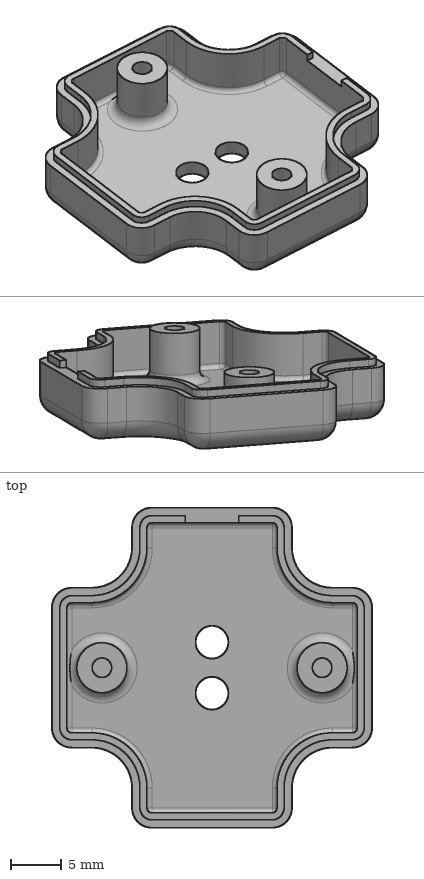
import cadquery as cq
import math

span = 32.0
arm_width = 16.0
inner_corner_radius = 4.0
arm_corner_radius = 2.0
bottom_round = 2.0

floor_thickness = 1.5
shoulder_height = 5.5
rim_height = 6.25
boss_height = 6.75

lip_inset = 0.8
wall_thickness = 1.5
cavity_round = 0.5

notch_width = 5.35

boss_diameter = 5.0
boss_flare = 1.0
boss_offset = 11.0
screw_diameter = 1.95
floor_hole_diameter = 3.25
floor_hole_offset = 2.55


def cross_outline(inset, base_height):
    """Closed cross outline, offset inwards by the given inset."""
    end = span / 2 - inset
    side = arm_width / 2 - inset
    convex = arm_corner_radius - inset
    concave = inner_corner_radius + inset
    concave_center = arm_width / 2 + inner_corner_radius
    convex_mid = convex * (1 - math.sqrt(0.5))
    concave_mid = concave_center - concave * math.sqrt(0.5)

    def turned(x, y, quarter):
        for _ in range(quarter):
            x, y = -y, x
        return x, y

    outline = cq.Workplane("XY").workplane(offset=base_height).moveTo(end, convex - side)
    for quarter in range(4):
        outline = (
            outline
            .lineTo(*turned(end, side - convex, quarter))
            .threePointArc(
                turned(end - convex_mid, side - convex_mid, quarter),
                turned(end - convex, side, quarter),
            )
            .lineTo(*turned(concave_center, side, quarter))
            .threePointArc(
                turned(concave_mid, concave_mid, quarter),
                turned(side, concave_center, quarter),
            )
            .lineTo(*turned(side, end - convex, quarter))
            .threePointArc(
                turned(side - convex_mid, end - convex_mid, quarter),
                turned(side - convex, end, quarter),
            )
        )
    return outline.close()


def cross_prism(inset, bottom, top):
    return cross_outline(inset, bottom).extrude(top - bottom)


def make_shell():
    body = cross_prism(0, 0, shoulder_height).faces("<Z").edges().fillet(bottom_round)
    lip = cross_prism(lip_inset, shoulder_height, rim_height)
    cavity = cross_prism(wall_thickness, floor_thickness, rim_height)
    cavity = cavity.faces("<Z").edges().fillet(cavity_round)
    return body.union(lip).cut(cavity)


def make_notch():
    """Cutter that lowers the +Y lip to the shoulder."""
    depth = wall_thickness
    return (
        cq.Workplane("XY")
        .box(notch_width, depth, rim_height - shoulder_height, centered=(True, False, False))
        .translate((0, span / 2 - depth, shoulder_height))
    )


def make_boss(x):
    """Round boss with a concave flare where it meets the floor."""
    radius = boss_diameter / 2
    flare_mid = boss_flare * (1 - math.sqrt(0.5))
    profile = (
        cq.Workplane("XZ")
        .moveTo(0, floor_thickness / 2)
        .lineTo(radius + boss_flare, floor_thickness / 2)
        .lineTo(radius + boss_flare, floor_thickness)
        .threePointArc(
            (radius + flare_mid, floor_thickness + flare_mid),
            (radius, floor_thickness + boss_flare),
        )
        .lineTo(radius, boss_height)
        .lineTo(0, boss_height)
        .close()
    )
    return profile.revolve(360, (0, 0, 0), (0, 1, 0)).translate((x, 0, 0))


def make_screw_hole(x):
    """Blind hole from the boss top down to the floor level."""
    return (
        cq.Workplane("XY", origin=(x, 0, floor_thickness))
        .circle(screw_diameter / 2)
        .extrude(boss_height - floor_thickness)
    )


def make_floor_hole(y):
    return (
        cq.Workplane("XY", origin=(0, y, 0))
        .circle(floor_hole_diameter / 2)
        .extrude(floor_thickness)
    )


result = make_shell().cut(make_notch())
for direction in (-1, 1):
    result = result.union(make_boss(direction * boss_offset))
    result = result.cut(make_screw_hole(direction * boss_offset))
    result = result.cut(make_floor_hole(direction * floor_hole_offset))